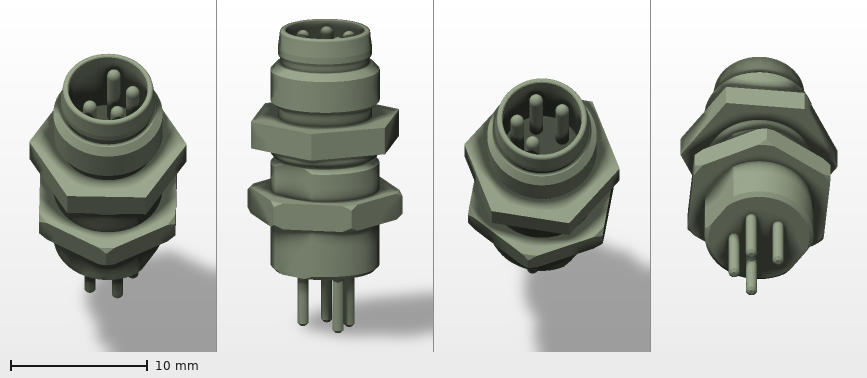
import cadquery as cq
import math

TOTAL_HEIGHT = 22.5
BODY_BOTTOM = 4.5
BODY_TOP = 12.8
NUT_BOTTOM = 8.53
NUT_TOP = 10.48
HEX_FLANGE_BOTTOM = 14.0
HEX_FLANGE_TOP = 16.0
COLLAR_BOTTOM = 16.99
COLLAR_CONE_START = 19.5
COLLAR_TOP = 20.0
HEAD_BOTTOM = 20.5
HEAD_TAPER_START = 21.17

BODY_DIAMETER = 7.96
BODY_FLATS = 7.1
BODY_CHAMFER = 0.3

HEX_ACROSS_FLATS = 10.0
HEX_CORNER_DIAMETER = 11.5
NUT_CHAMFER = 0.3

NECK_DIAMETER = 6.7
RING_OUTER_DIAMETER = 8.0
RING_THICKNESS = 1.0
RING_GAP = 0.05
RING_CENTER_HEIGHT = HEX_FLANGE_BOTTOM - RING_GAP - RING_THICKNESS / 2

SHAFT_DIAMETER = 6.9
COLLAR_DIAMETER = 8.0
COLLAR_BOTTOM_CHAMFER = 0.2
COLLAR_TOP_DIAMETER = 7.02
GROOVE_DIAMETER = 6.5
HEAD_DIAMETER = SHAFT_DIAMETER
HEAD_CHAMFER_HEIGHT = 0.2
HEAD_CHAMFER_DEPTH = 0.11
RIM_DIAMETER = 6.57
RIM_FILLET = 0.2

SOCKET_DIAMETER = 5.8
SOCKET_FLOOR = COLLAR_BOTTOM
SOCKET_MOUTH_CHAMFER = 0.07
INSULATOR_FILLET = 0.27
SOCKET_BOTTOM = SOCKET_FLOOR - INSULATOR_FILLET

CONTACT_DIAMETER = 1.0
CONTACT_TOP = 22.25
NOSE_CENTER = CONTACT_TOP - CONTACT_DIAMETER / 2
SOLDER_PIN_DIAMETER = 0.8
SOLDER_PIN_CHAMFER = 0.2
CONTACT_PAIRS = [(-0.52, 1.69), (1.46, 1.08)]


def cylinder(diameter, bottom, top):
    return cq.Workplane("XY").workplane(offset=bottom).circle(diameter / 2).extrude(top - bottom)


def hexagon(bottom, top, turn):
    """Hexagonal prism, turned about Z by the given angle in degrees."""
    corner_to_corner = HEX_ACROSS_FLATS / math.cos(math.pi / 6)
    prism = cq.Workplane("XY").workplane(offset=bottom).polygon(6, corner_to_corner).extrude(top - bottom)
    return prism.rotate((0, 0, 0), (0, 0, 1), turn)


def hex_flange():
    """Hexagon with corners along Y, its corner edges slightly rounded off."""
    corner_limit = cylinder(HEX_CORNER_DIAMETER, HEX_FLANGE_BOTTOM, HEX_FLANGE_TOP)
    return hexagon(HEX_FLANGE_BOTTOM, HEX_FLANGE_TOP, 30).intersect(corner_limit)


def lock_nut():
    """Chamfered nut, corners along X; its round bore leaves a gap beside each body flat."""
    corner_limit = cylinder(HEX_CORNER_DIAMETER, NUT_BOTTOM, NUT_TOP).edges("%CIRCLE").chamfer(NUT_CHAMFER)
    bore = cylinder(BODY_DIAMETER, NUT_BOTTOM, NUT_TOP)
    return hexagon(NUT_BOTTOM, NUT_TOP, 0).intersect(corner_limit).cut(bore)


def rear_body():
    barrel = cylinder(BODY_DIAMETER, BODY_BOTTOM, BODY_TOP).edges("%CIRCLE").chamfer(BODY_CHAMFER)
    between_flats = (
        cq.Workplane("XY")
        .workplane(offset=BODY_BOTTOM)
        .rect(BODY_FLATS, BODY_DIAMETER)
        .extrude(BODY_TOP - BODY_BOTTOM)
    )
    return barrel.intersect(between_flats)


def sealing_ring():
    center_radius = (RING_OUTER_DIAMETER - RING_THICKNESS) / 2
    return (
        cq.Workplane("XZ")
        .center(-center_radius, RING_CENTER_HEIGHT)
        .circle(RING_THICKNESS / 2)
        .revolve(360, (center_radius, 0), (center_radius, 1))
    )


def collar():
    barrel = cylinder(COLLAR_DIAMETER, COLLAR_BOTTOM, COLLAR_TOP)
    cone_depth = (COLLAR_DIAMETER - COLLAR_TOP_DIAMETER) / 2
    return (
        barrel.faces("<Z").chamfer(COLLAR_BOTTOM_CHAMFER)
        .faces(">Z").chamfer(COLLAR_TOP - COLLAR_CONE_START, cone_depth)
    )


def plug_head():
    """Tapered ring with a chamfered underside and a rounded rim."""
    profile = [
        (0, HEAD_BOTTOM),
        (HEAD_DIAMETER / 2 - HEAD_CHAMFER_DEPTH, HEAD_BOTTOM),
        (HEAD_DIAMETER / 2, HEAD_BOTTOM + HEAD_CHAMFER_HEIGHT),
        (HEAD_DIAMETER / 2, HEAD_TAPER_START),
        (RIM_DIAMETER / 2, TOTAL_HEIGHT),
        (0, TOTAL_HEIGHT),
    ]
    head = cq.Workplane("XZ").polyline(profile).close().revolve(360, (0, 0), (0, 1))
    return head.faces(">Z").edges().fillet(RIM_FILLET)


def socket():
    """Volume removed from the head: a bore that runs around the rounded insulator edge."""
    bore = cylinder(SOCKET_DIAMETER, SOCKET_BOTTOM, TOTAL_HEIGHT)
    mouth = (
        cq.Workplane("XY")
        .workplane(offset=TOTAL_HEIGHT)
        .circle(SOCKET_DIAMETER / 2 + SOCKET_MOUTH_CHAMFER)
        .extrude(-SOCKET_MOUTH_CHAMFER, taper=45)
    )
    insulator = cylinder(SOCKET_DIAMETER, BODY_BOTTOM, SOCKET_FLOOR)
    insulator = insulator.faces(">Z").edges().fillet(INSULATOR_FILLET)
    return bore.union(mouth).cut(insulator)


def contact(x, y):
    """Round-nosed contact inside the socket with its solder pin below the body."""
    shank = cylinder(CONTACT_DIAMETER, SOCKET_BOTTOM, NOSE_CENTER)
    nose = cq.Workplane("XY").sphere(CONTACT_DIAMETER / 2).translate((0, 0, NOSE_CENTER))
    solder_pin = cylinder(SOLDER_PIN_DIAMETER, 0, SOCKET_FLOOR).faces("<Z").chamfer(SOLDER_PIN_CHAMFER)
    return shank.union(nose).union(solder_pin).translate((x, y, 0))


result = rear_body().union(lock_nut()).union(hex_flange())
result = result.union(cylinder(NECK_DIAMETER, BODY_TOP, HEX_FLANGE_BOTTOM)).union(sealing_ring())
result = result.union(cylinder(SHAFT_DIAMETER, HEX_FLANGE_TOP, COLLAR_BOTTOM)).union(collar())
result = result.union(cylinder(GROOVE_DIAMETER, COLLAR_TOP, HEAD_BOTTOM)).union(plug_head())
result = result.cut(socket())
for pair_x, pair_y in CONTACT_PAIRS:
    for side in (-1, 1):
        result = result.union(contact(pair_x, side * pair_y))